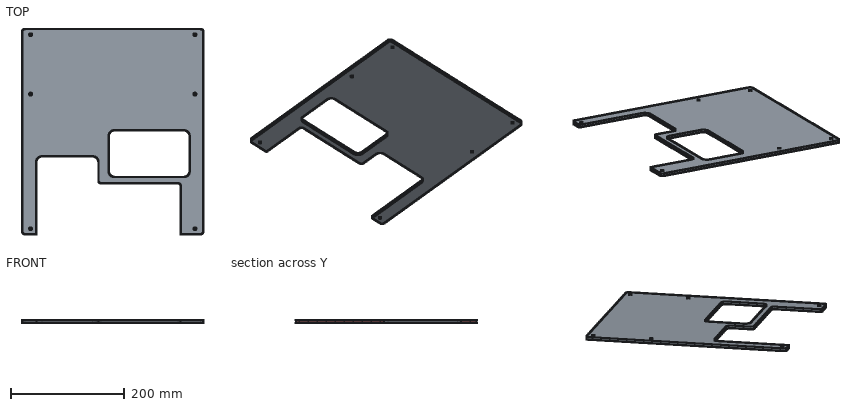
import cadquery as cq

WIDTH = 320.0
LENGTH = 362.5
THICKNESS = 5.0
OUTER_RADIUS = 5.0

LEFT_LEG_WIDTH = 25.0
RIGHT_LEG_WIDTH = 40.0
DEEP_NOTCH_WIDTH = 109.5
DEEP_NOTCH_DEPTH = 137.5
SHALLOW_NOTCH_DEPTH = 90.0
DEEP_NOTCH_RADIUS = 10.0
STEP_RADIUS = 5.0

WINDOW_WIDTH = 142.5
WINDOW_LENGTH = 82.0
WINDOW_RADIUS = 10.0
WINDOW_RIGHT_MARGIN = 24.5
WINDOW_BOTTOM_MARGIN = 101.5

HOLE_DIAMETER = 4.0
HOLE_SIDE_MARGIN = 15.0
HOLE_END_MARGIN = 10.0
MIDDLE_HOLE_FROM_TOP = 115.0

RIGHT = WIDTH / 2
LEFT = -RIGHT
TOP = LENGTH / 2
BOTTOM = -TOP


def make_plate():
    """Flat plate with rounded outer corners."""
    plate = cq.Workplane("XY").rect(WIDTH, LENGTH).extrude(THICKNESS)
    return plate.edges("|Z").fillet(OUTER_RADIUS)


def make_notch():
    """Stepped cutter for the open notch between the two legs."""
    left_x = LEFT + LEFT_LEG_WIDTH
    step_x = left_x + DEEP_NOTCH_WIDTH
    right_x = RIGHT - RIGHT_LEG_WIDTH
    deep_y = BOTTOM + DEEP_NOTCH_DEPTH
    shallow_y = BOTTOM + SHALLOW_NOTCH_DEPTH
    notch = (
        cq.Workplane("XY")
        .moveTo(left_x, BOTTOM)
        .lineTo(left_x, deep_y)
        .lineTo(step_x, deep_y)
        .lineTo(step_x, shallow_y)
        .lineTo(right_x, shallow_y)
        .lineTo(right_x, BOTTOM)
        .close()
        .extrude(THICKNESS)
    )
    notch = notch.faces(">Y").edges("|Z").fillet(DEEP_NOTCH_RADIUS)
    step_corners = [(step_x, shallow_y), (right_x, shallow_y)]
    for corner in step_corners:
        nearest = cq.selectors.NearestToPointSelector((*corner, THICKNESS / 2))
        notch = notch.edges("|Z").edges(nearest).fillet(STEP_RADIUS)
    return notch


def make_window():
    """Cutter for the rounded rectangular window."""
    center_x = RIGHT - WINDOW_RIGHT_MARGIN - WINDOW_WIDTH / 2
    center_y = BOTTOM + WINDOW_BOTTOM_MARGIN + WINDOW_LENGTH / 2
    window = (
        cq.Workplane("XY")
        .center(center_x, center_y)
        .rect(WINDOW_WIDTH, WINDOW_LENGTH)
        .extrude(THICKNESS)
    )
    return window.edges("|Z").fillet(WINDOW_RADIUS)


def make_holes():
    """Cutters for the through holes, three along each side."""
    hole_x = RIGHT - HOLE_SIDE_MARGIN
    hole_rows = (
        TOP - HOLE_END_MARGIN,
        TOP - MIDDLE_HOLE_FROM_TOP,
        BOTTOM + HOLE_END_MARGIN,
    )
    centers = [(x, y) for x in (-hole_x, hole_x) for y in hole_rows]
    return cq.Workplane("XY").pushPoints(centers).circle(HOLE_DIAMETER / 2).extrude(THICKNESS)


result = make_plate().cut(make_notch()).cut(make_window()).cut(make_holes())